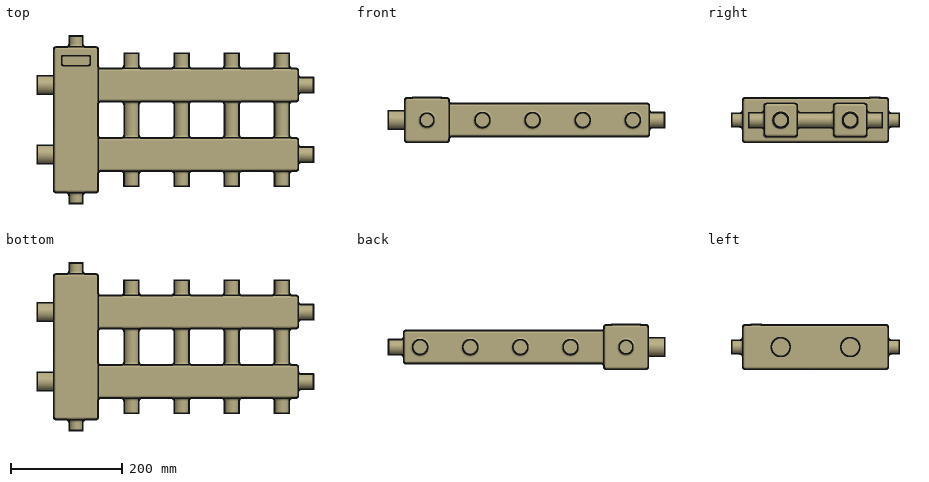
import cadquery as cq
import math

header_size = 80.0
header_length = 262.0
box_round = 5.0

bar_size = 60.0
bar_length = 360.0
bar_spacing = 125.0
joint_radius = 4.0

inlet_diameter = 34.0
inlet_length = 30.0

outlet_diameter = 28.0
outlet_weld = 4.0
outlet_chamfer = 1.0

branch_diameter = 27.0
branch_length = 27.5
branch_weld = 5.0
branch_count = 4
branch_pitch = 90.0
first_branch_offset = 60.0

service_diameter = 25.0
service_length = 20.0
service_weld = 5.0

plate_length = 51.5
plate_width = 18.0
plate_height = 1.0
plate_corner = 3.0
plate_y = 106.5

overall_length = 498.0

header_x = inlet_length + header_size / 2
bar_start_x = inlet_length + header_size
bar_end_x = bar_start_x + bar_length
outlet_length = overall_length - bar_end_x
bar_rows = [-bar_spacing / 2, bar_spacing / 2]
branch_columns = [bar_start_x + first_branch_offset + i * branch_pitch for i in range(branch_count)]
outer_face_y = (bar_spacing + bar_size) / 2
inner_face_y = (bar_spacing - bar_size) / 2


def welded_pipe(start, direction, length, diameter, weld, both_ends=False):
    """Solid round pipe with a concave weld bead around its start, or around both ends."""
    radius = diameter / 2
    foot = radius + weld
    profile = cq.Workplane("XY").lineTo(foot, 0).radiusArc((radius, weld), weld)
    if both_ends:
        profile = profile.lineTo(radius, length - weld).radiusArc((foot, length), weld)
    else:
        profile = profile.lineTo(radius, length)
    turned = profile.lineTo(0, length).close().revolve(360, (0, 0, 0), (0, 1, 0))
    swing = math.degrees(math.atan2(-direction[0], direction[1]))
    return turned.rotate((0, 0, 0), (0, 0, 1), swing).translate(start)


def header():
    """Square box with all its edges rounded."""
    return (
        cq.Workplane("XY")
        .box(header_size, header_length, header_size)
        .edges()
        .fillet(box_round)
        .translate((header_x, 0, 0))
    )


def bar(y):
    """Square bar with its long edges and far end rounded."""
    return (
        cq.Workplane("YZ", origin=(bar_start_x, y, 0))
        .rect(bar_size, bar_size)
        .extrude(bar_length)
        .edges("not <X")
        .fillet(box_round)
    )


def name_plate():
    """Thin raised plate with round corners on the top face of the header."""
    return (
        cq.Workplane("XY", origin=(header_x, plate_y, header_size / 2))
        .rect(plate_length, plate_width)
        .extrude(plate_height)
        .edges("|Z")
        .fillet(plate_corner)
    )


result = header()
for y in bar_rows:
    result = result.union(bar(y))

pick_margin = 0.5
half_bar = bar_size / 2 + pick_margin
for y in bar_rows:
    joint = cq.selectors.BoxSelector(
        (bar_start_x - pick_margin, y - half_bar, -half_bar),
        (bar_start_x + pick_margin, y + half_bar, half_bar),
    )
    result = result.edges(joint).fillet(joint_radius)

for y in bar_rows:
    inlet = cq.Workplane("YZ", origin=(0, y, 0)).circle(inlet_diameter / 2).extrude(inlet_length)
    outlet = welded_pipe((bar_end_x, y, 0), (1, 0), outlet_length, outlet_diameter, outlet_weld)
    result = result.union(inlet).union(outlet.faces(">X").chamfer(outlet_chamfer))

for x in branch_columns:
    for side in (1, -1):
        start = (x, side * outer_face_y, 0)
        result = result.union(welded_pipe(start, (0, side), branch_length, branch_diameter, branch_weld))
    link_start = (x, -inner_face_y, 0)
    link = welded_pipe(link_start, (0, 1), 2 * inner_face_y, branch_diameter, branch_weld, both_ends=True)
    result = result.union(link)

for side in (1, -1):
    start = (header_x, side * header_length / 2, 0)
    result = result.union(welded_pipe(start, (0, side), service_length, service_diameter, service_weld))

result = result.union(name_plate())